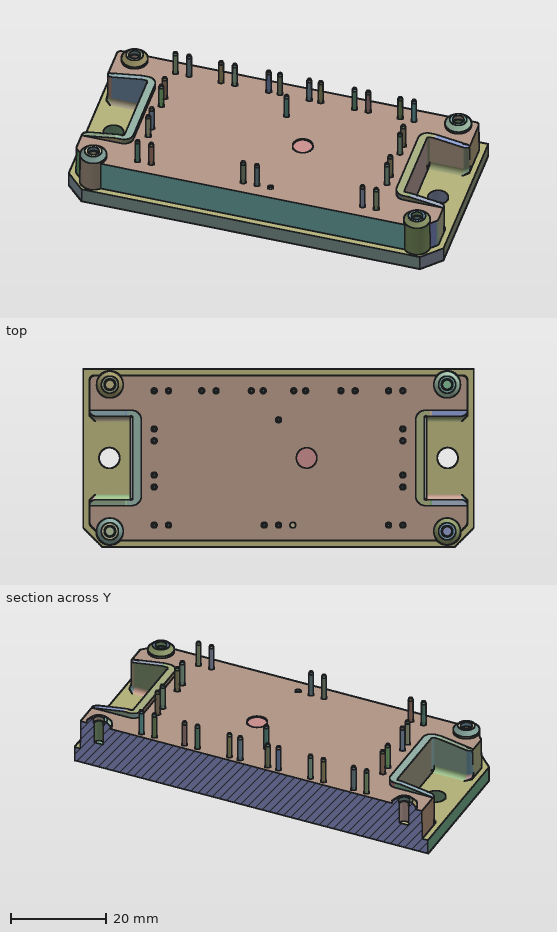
import math

import cadquery as cq


plate_length = 82.0
plate_width = 37.4
plate_height = 3.5
plate_chamfer = 4.0
screw_hole_diameter = 4.3
screw_hole_x = 35.5

housing_length = 79.4
housing_width = 34.7
housing_top = 10.5
housing_chamfer = 3.3
housing_corner_radius = 1.0
draft_angle = 1.0

recess_back_x = 30.6
recess_half_width = 8.8
recess_corner_radius = 0.5
recess_foot_radius = 1.1
slot_width = 0.45
rim_half_width = 10.0
rim_back_x = 28.8
rim_top = 11.7
rim_slope_start_x = 32.0
rim_corner_radius = 2.0
rim_slope_blend_radius = 3.0

boss_x = 35.4
boss_y = 15.4
boss_height = 12.0
boss_foot_radius = 2.9
boss_top_radius = 2.8
boss_chamfer = 1.0
boss_bore_diameter = 2.4
boss_bore_depth = 1.0
boss_core_diameter = 2.0
boss_core_depth = 6.0

pin_diameter = 1.0
pin_top = 16.23
pin_tip_height = 0.5
pin_tip_inset = 0.2
pin_hole_diameter = 1.2
pin_hole_depth = 0.5
pin_row_y = 14.1
back_row_x = (3.2, 5.7, 13.1, 16.1, 23.1, 26.1)
front_row_x = (23.1, 26.1)
side_column_x = 26.1
side_column_y = (3.6, 6.1)
front_group_pitch = 3.0
lone_pin = (0.0, 8.0)

mark_diameter = 4.3
mark_x = 5.9
mark_depth = 0.3

sides = (-1, 1)
housing_height = housing_top - plate_height
mouth_radius = rim_half_width - recess_half_width


def make_cylinders(points, diameter, bottom, top):
    """Upright cylinders between two heights, one at each point."""
    return (
        cq.Workplane("XY", origin=(0, 0, bottom))
        .pushPoints(points)
        .circle(diameter / 2)
        .extrude(top - bottom)
    )


def make_plate():
    """Rectangular plate with its two front corners cut off and two screw holes."""
    plate = cq.Workplane("XY").box(plate_length, plate_width, plate_height, centered=(True, True, False))
    plate = plate.faces("<Y").edges("|Z").chamfer(plate_chamfer)
    screw_points = [(side * screw_hole_x, 0) for side in sides]
    return plate.cut(make_cylinders(screw_points, screw_hole_diameter, 0, plate_height))


def make_housing():
    """Drafted block with chamfered front corners and rounded end corners."""
    end_x = housing_length / 2
    side_y = housing_width / 2
    outline = (
        cq.Sketch()
        .polygon([
            (-end_x, side_y),
            (end_x, side_y),
            (end_x, -side_y + housing_chamfer),
            (end_x - housing_chamfer, -side_y),
            (-end_x + housing_chamfer, -side_y),
            (-end_x, -side_y + housing_chamfer),
            (-end_x, side_y),
        ])
        .vertices()
        .fillet(housing_corner_radius)
    )
    return (
        cq.Workplane("XY", origin=(0, 0, plate_height))
        .placeSketch(outline)
        .extrude(housing_height, taper=draft_angle)
    )


def make_rim():
    """Raised block around the left recess, sloping down to the housing top at the end."""
    end_x = housing_length / 2 - housing_height * math.tan(math.radians(draft_angle))
    block = (
        cq.Workplane("XZ")
        .polyline([
            (-end_x, plate_height),
            (-rim_back_x, plate_height),
            (-rim_back_x, rim_top),
            (-rim_slope_start_x, rim_top),
            (-end_x, housing_top),
        ])
        .close()
        .extrude(rim_half_width, both=True)
    )
    block = block.edges("|Z and >X").fillet(rim_corner_radius)
    slope_edge = cq.selectors.NearestToPointSelector((-rim_slope_start_x, 0, rim_top))
    return block.edges(slope_edge).fillet(rim_slope_blend_radius)


def make_recess():
    """Space cut from the left end: rounded mouth, small inner corner radii."""
    end_x = housing_length / 2
    wall_start_x = end_x - mouth_radius
    mouth_mid = mouth_radius * math.sqrt(0.5)
    corner_y = recess_half_width - recess_corner_radius
    corner_x = recess_back_x + recess_corner_radius
    corner_mid = recess_corner_radius * math.sqrt(0.5)
    half_outline = (
        cq.Workplane("XY", origin=(0, 0, plate_height))
        .moveTo(-plate_length / 2, 0)
        .lineTo(-plate_length / 2, rim_half_width)
        .lineTo(-end_x, rim_half_width)
        .threePointArc(
            (-wall_start_x - mouth_mid, rim_half_width - mouth_mid),
            (-wall_start_x, recess_half_width),
        )
        .lineTo(-corner_x, recess_half_width)
        .threePointArc(
            (-corner_x + corner_mid, corner_y + corner_mid),
            (-recess_back_x, corner_y),
        )
        .lineTo(-recess_back_x, 0)
        .close()
    )
    half = half_outline.extrude(rim_top - plate_height)
    return half.union(half.mirror("XZ"))


def make_foot_profile(origin):
    """Concave triangular fillet section in a YZ plane, against the recess side wall."""
    arc_mid = recess_foot_radius * (1 - math.sqrt(0.5))
    return (
        cq.Workplane("YZ", origin=origin)
        .moveTo(recess_half_width, plate_height)
        .lineTo(recess_half_width - recess_foot_radius, plate_height)
        .threePointArc(
            (recess_half_width - arc_mid, plate_height + arc_mid),
            (recess_half_width, plate_height + recess_foot_radius),
        )
        .close()
    )


def make_recess_foot():
    """Fillet along the foot of the back side wall of the left recess, fading out around its mouth."""
    end_x = housing_length / 2
    start_x = end_x - mouth_radius
    strip_length = start_x - recess_back_x - slot_width
    strip = make_foot_profile((-start_x, 0, 0)).extrude(strip_length)
    turn = make_foot_profile((-start_x, 0, 0)).revolve(
        90, (rim_half_width, 0, 0), (rim_half_width, -1, 0)
    )
    foot_y = recess_half_width - recess_foot_radius
    fade_zone = (
        cq.Workplane("XY", origin=(0, 0, plate_height))
        .polyline([
            (-start_x, foot_y),
            (-end_x, foot_y + mouth_radius),
            (-end_x, rim_half_width),
            (-start_x, rim_half_width),
        ])
        .close()
        .extrude(recess_foot_radius)
    )
    return strip.union(turn.intersect(fade_zone))


def make_slot():
    """Narrow slot through the plate along the inner wall of the left recess."""
    return (
        cq.Workplane("XY")
        .center(-recess_back_x - slot_width / 2, 0)
        .rect(slot_width, 2 * recess_half_width)
        .extrude(plate_height)
    )


def make_boss():
    """Drafted round boss with a conical top, standing on the plate at the origin."""
    cone_start = boss_height - boss_chamfer
    return (
        cq.Workplane("XZ")
        .polyline([
            (0, plate_height),
            (boss_foot_radius, plate_height),
            (boss_top_radius, cone_start),
            (boss_top_radius - boss_chamfer, boss_height),
            (0, boss_height),
        ])
        .close()
        .revolve(360, (0, 0, 0), (0, 1, 0))
    )


def make_boss_bore():
    """Stepped blind bore of a boss."""
    centre = [(0, 0)]
    core = make_cylinders(centre, boss_core_diameter, boss_height - boss_core_depth, boss_height)
    bore = make_cylinders(centre, boss_bore_diameter, boss_height - boss_bore_depth, boss_height)
    return core.union(bore)


def make_pin():
    """Round pin with a tapered tip, rising from the bottom of its clearance hole."""
    pin_bottom = housing_top - pin_hole_depth
    pin = make_cylinders([(0, 0)], pin_diameter, pin_bottom, pin_top)
    return pin.faces(">Z").chamfer(pin_tip_height, pin_tip_inset)


def pin_positions():
    """Centres of all the pins."""
    points = [lone_pin, (0.0, -pin_row_y), (-front_group_pitch, -pin_row_y)]
    for side in sides:
        points += [(side * x, pin_row_y) for x in back_row_x]
        points += [(side * x, -pin_row_y) for x in front_row_x]
        for end in sides:
            points += [(side * side_column_x, end * y) for y in side_column_y]
    return points


def top_holes(points, diameter, depth):
    """Blind round holes sunk into the housing top."""
    return make_cylinders(points, diameter, housing_top - depth, housing_top)


def both_ends(shape):
    """The left-hand shape together with its mirror image at the right end."""
    return shape.union(shape.mirror("YZ"))


foot = make_recess_foot()
result = make_housing().union(both_ends(make_rim()))
result = result.cut(both_ends(make_recess()))
result = result.union(make_plate())
result = result.union(both_ends(foot.union(foot.mirror("XZ"))))
result = result.cut(both_ends(make_slot()))

boss_points = [(x_side * boss_x, y_side * boss_y) for x_side in sides for y_side in sides]
boss = make_boss()
boss_bore = make_boss_bore()
for x, y in boss_points:
    result = result.union(boss.translate((x, y, 0)))
    result = result.cut(boss_bore.translate((x, y, 0)))

pin_points = pin_positions()
empty_hole = (front_group_pitch, -pin_row_y)
result = result.cut(top_holes(pin_points + [empty_hole], pin_hole_diameter, pin_hole_depth))
result = result.cut(top_holes([(mark_x, 0.0)], mark_diameter, mark_depth))
pin = make_pin()
for x, y in pin_points:
    result = result.union(pin.translate((x, y, 0)))